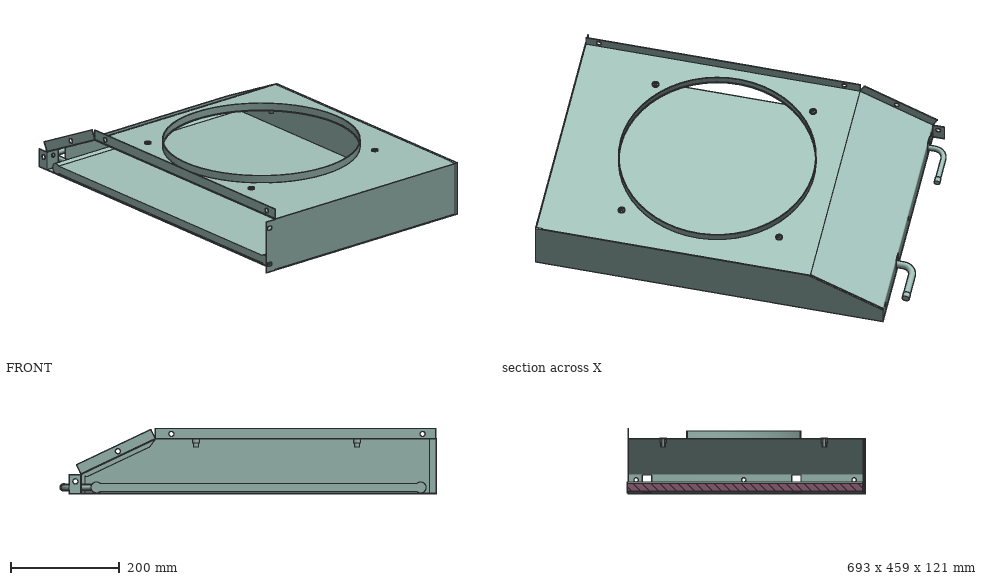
import cadquery as cq
import math

SHEET = 1.5
LENGTH = 655.0
BACK_SHEET = 3.0
DEPTH = 437.5
ROOF_Z = 102.0
INLET_WALL_Z = 37.0
ROOF_START_X = 137.0
BEND_RADIUS = 3.5
FLANGE_WIDTH = 19.0
TAB_WIDTH = 21.5
INLET_TAB_Z = 35.5

FLANGE_HOLE_DIA = 9.0
FLANGE_HOLE_HEIGHT = 8.0
ROOF_FLANGE_HOLES_X = (167.0, 629.5)
SLOPE_HOLE_ALONG = 80.0
INLET_TAB_HOLE = (-10.0, 23.0)
TAB_SLOT_LENGTH = 11.0
TAB_SLOT_WIDTH = 7.5
TAB_SLOT_Y = -13.0
TAB_SLOTS_Z = (15.0, 87.0)

SLOPE_LIP = 8.0
END_LIP = 12.5

FAN_CENTRE = (360.5, 213.5)
FAN_RING_DIA = 365.0
FAN_RING_HEIGHT = 14.0

WALL_SCREW_HOLE_DIA = 7.5
WALL_SCREW_HOLES_Y = (15.0, 213.5, 417.0)
WALL_SCREW_HOLE_Z = 26.0
PIPE_SLOT_WIDTH = 16.5
PIPE_SLOT_TOP_Z = 35.0

RIVET_NUT_SPACING = 297.0
NUT_HEAD_DIA = 12.5
NUT_HEAD_HEIGHT = 1.0
NUT_SHANK_DIA = 9.0
NUT_COLLAR_HEIGHT = 7.0
NUT_LENGTH_BELOW_ROOF = 14.5
NUT_BORE_DIA = 4.0

COIL_AXIS_Z = 12.0
CORE_THICKNESS = 14.5
HEADER_DIA = 20.0
HEADER_INSET = 29.0
COIL_FRONT_Y = -1.5
COIL_BACK_Y = 433.0

PIPE_REACH_X = -31.0
PIPE_BEND_RADIUS = 20.0
PIPE_CAP_LENGTH = 10.5
SUCTION_PIPE_Y = 310.5
SUCTION_PIPE_DIA = 13.0
SUCTION_CAP_DIA = 14.0
SUCTION_END_Y = 385.0
LIQUID_PIPE_Y = 35.5
LIQUID_PIPE_DIA = 10.0
LIQUID_CAP_DIA = 11.0
LIQUID_END_Y = 111.5

SLOPE_ANGLE = math.atan2(ROOF_Z - INLET_WALL_Z, ROOF_START_X)
SLOPE_LENGTH = math.hypot(ROOF_Z - INLET_WALL_Z, ROOF_START_X)
SLOPE_DROP = SHEET / math.cos(SLOPE_ANGLE)
BACK_WALL_Y = DEPTH - BACK_SHEET


def slope_point(along, above):
    """X, Z of a point along the slope and above it, square to its outer face."""
    return (
        along * math.cos(SLOPE_ANGLE) - above * math.sin(SLOPE_ANGLE),
        INLET_WALL_Z + along * math.sin(SLOPE_ANGLE) + above * math.cos(SLOPE_ANGLE),
    )


def plate_xz(points, y_start, y_end):
    """Flat plate with an X-Z outline, between two Y positions."""
    return cq.Workplane("XZ", origin=(0, y_start, 0)).polyline(points).close().extrude(y_start - y_end)


def box(x_range, y_range, z_range):
    """Box from its limits on each axis."""
    size = [high - low for low, high in (x_range, y_range, z_range)]
    corner = (x_range[0], y_range[0], z_range[0])
    return cq.Workplane().box(*size, centered=False).translate(corner)


def round_inlet_bend(solid, radius):
    """Round the edge where the inlet wall meets the slope."""
    return solid.edges("|Y").edges(cq.NearestToPointSelector((0, DEPTH / 2, INLET_WALL_Z))).fillet(radius)


def sheet_loop():
    """Floor, inlet wall, slope, roof and end wall as one bent sheet."""
    outline = [(0, 0), (LENGTH, 0), (LENGTH, ROOF_Z), (ROOF_START_X, ROOF_Z), (0, INLET_WALL_Z)]
    outer = round_inlet_bend(plate_xz(outline, 0, BACK_WALL_Y), BEND_RADIUS)
    cavity = cq.Workplane("XZ").polyline(outline).close().offset2D(-SHEET, "intersection").extrude(-BACK_WALL_Y)
    return outer.cut(round_inlet_bend(cavity, BEND_RADIUS - SHEET))


def back_wall():
    """Back wall, one sheet lower than the outer face along the slope."""
    outline = [
        (0, 0),
        (LENGTH, 0),
        (LENGTH, ROOF_Z),
        (ROOF_START_X, ROOF_Z),
        (ROOF_START_X, ROOF_Z - SLOPE_DROP),
        (0, INLET_WALL_Z - SLOPE_DROP),
    ]
    return round_inlet_bend(plate_xz(outline, BACK_WALL_Y, DEPTH), BEND_RADIUS)


def back_lips():
    """Inward lips of the inlet wall, slope and end wall, lying on the back wall."""
    lip_y = (BACK_WALL_Y - SHEET, BACK_WALL_Y)
    slope_lip = plate_xz(
        [
            slope_point(0, -SHEET),
            slope_point(SLOPE_LENGTH, -SHEET),
            slope_point(SLOPE_LENGTH - 2 * SLOPE_LIP, -SHEET - SLOPE_LIP),
            slope_point(SLOPE_LIP, -SHEET - SLOPE_LIP),
        ],
        *lip_y,
    )
    inlet_lip = box((0, SLOPE_LIP), lip_y, (0, INLET_WALL_Z - SLOPE_DROP))
    end_lip = box((LENGTH - END_LIP, LENGTH), lip_y, (0, ROOF_Z))
    return slope_lip.union(inlet_lip).union(end_lip)


def front_flanges():
    """Upstanding flanges on the roof and slope, and the inlet tab, with their round holes."""
    roof_flange = box((ROOF_START_X, LENGTH - SHEET), (0, SHEET), (ROOF_Z - SHEET, ROOF_Z + FLANGE_WIDTH))
    slope_flange = plate_xz(
        [
            slope_point(0, -SHEET),
            slope_point(SLOPE_LENGTH, -SHEET),
            slope_point(SLOPE_LENGTH, FLANGE_WIDTH),
            slope_point(0, FLANGE_WIDTH),
        ],
        0,
        SHEET,
    )
    inlet_tab = box((-TAB_WIDTH, SHEET), (0, SHEET), (0, INLET_TAB_Z))
    hole_centres = [(x, ROOF_Z + FLANGE_HOLE_HEIGHT) for x in ROOF_FLANGE_HOLES_X]
    hole_centres += [slope_point(SLOPE_HOLE_ALONG, FLANGE_HOLE_HEIGHT), INLET_TAB_HOLE]
    holes = cq.Workplane("XZ").pushPoints(hole_centres).circle(FLANGE_HOLE_DIA / 2).extrude(-SHEET)
    return roof_flange.union(slope_flange).union(inlet_tab).cut(holes)


def end_tab():
    """Slotted mounting tab that continues the end wall past the open front."""
    tab = box((LENGTH - SHEET, LENGTH), (-TAB_WIDTH, 0), (0, ROOF_Z - SHEET))
    slots = (
        cq.Workplane("YZ", origin=(LENGTH - SHEET, 0, 0))
        .pushPoints([(TAB_SLOT_Y, z) for z in TAB_SLOTS_Z])
        .slot2D(TAB_SLOT_LENGTH, TAB_SLOT_WIDTH)
        .extrude(SHEET)
    )
    return tab.cut(slots)


def fan_ring():
    """Collar around the fan opening."""
    return (
        cq.Workplane(origin=(*FAN_CENTRE, ROOF_Z - SHEET))
        .circle(FAN_RING_DIA / 2)
        .circle(FAN_RING_DIA / 2 - SHEET)
        .extrude(SHEET + FAN_RING_HEIGHT)
    )


def inlet_wall_cuts():
    """Screw holes and the two pipe slots through the inlet wall."""
    wall = cq.Workplane("YZ")
    screw_holes = (
        wall.pushPoints([(y, WALL_SCREW_HOLE_Z) for y in WALL_SCREW_HOLES_Y])
        .circle(WALL_SCREW_HOLE_DIA / 2)
        .extrude(SHEET)
    )
    slot_height = PIPE_SLOT_TOP_Z - SHEET
    pipe_slots = (
        wall.pushPoints([(y, SHEET + slot_height / 2) for y in (LIQUID_PIPE_Y, SUCTION_PIPE_Y)])
        .rect(PIPE_SLOT_WIDTH, slot_height)
        .extrude(SHEET)
    )
    return screw_holes.union(pipe_slots)


def nut_pattern(z):
    """Workplane at height z with a point at each rivet nut."""
    return cq.Workplane(origin=(*FAN_CENTRE, z)).rect(RIVET_NUT_SPACING, RIVET_NUT_SPACING, forConstruction=True)


def make_housing():
    """Sheet metal housing, open at the front."""
    housing = sheet_loop().union(back_wall()).union(back_lips())
    housing = housing.union(front_flanges()).union(end_tab()).union(fan_ring())
    fan_opening = (
        cq.Workplane(origin=(*FAN_CENTRE, ROOF_Z - SHEET)).circle(FAN_RING_DIA / 2 - SHEET).extrude(SHEET)
    )
    nut_holes = nut_pattern(ROOF_Z - SHEET).vertices().circle(NUT_SHANK_DIA / 2).extrude(SHEET)
    return housing.cut(fan_opening).cut(nut_holes).cut(inlet_wall_cuts())


def make_rivet_nut(x, y):
    """Rivet nut clamped in the roof: thin head, shank, collar under the sheet and a bore."""
    tip_z = ROOF_Z - SHEET - NUT_LENGTH_BELOW_ROOF
    collar_z = ROOF_Z - SHEET - NUT_COLLAR_HEIGHT
    head = cq.Workplane(origin=(x, y, ROOF_Z)).circle(NUT_HEAD_DIA / 2).extrude(NUT_HEAD_HEIGHT)
    shank = cq.Workplane(origin=(x, y, tip_z)).circle(NUT_SHANK_DIA / 2).extrude(ROOF_Z - tip_z)
    collar = cq.Workplane(origin=(x, y, collar_z)).circle(NUT_HEAD_DIA / 2).extrude(NUT_COLLAR_HEIGHT)
    bore = (
        cq.Workplane(origin=(x, y, tip_z)).circle(NUT_BORE_DIA / 2).extrude(ROOF_Z + NUT_HEAD_HEIGHT - tip_z)
    )
    return head.union(shank).union(collar).cut(bore)


def make_pipe(axis_y, end_y, pipe_dia, cap_dia):
    """Pipe from the inlet header out through the wall, bent towards +Y and capped."""
    bend_end_x = PIPE_REACH_X + PIPE_BEND_RADIUS
    bend_end_y = axis_y + PIPE_BEND_RADIUS
    to_arc_middle = PIPE_BEND_RADIUS * math.sqrt(0.5)
    arc_middle = (bend_end_x - to_arc_middle, bend_end_y - to_arc_middle)
    path = (
        cq.Workplane(origin=(0, 0, COIL_AXIS_Z))
        .moveTo(HEADER_INSET, axis_y)
        .lineTo(bend_end_x, axis_y)
        .threePointArc(arc_middle, (PIPE_REACH_X, bend_end_y))
        .lineTo(PIPE_REACH_X, end_y)
    )
    start = cq.Workplane("YZ", origin=(HEADER_INSET, axis_y, COIL_AXIS_Z))
    pipe = start.circle(pipe_dia / 2).sweep(path)
    cap = (
        cq.Workplane("XZ", origin=(PIPE_REACH_X, end_y, COIL_AXIS_Z)).circle(cap_dia / 2).extrude(PIPE_CAP_LENGTH)
    )
    return pipe.union(cap)


def make_coil():
    """Flat heat exchanger: core slab, a header at each end and the two connection pipes."""
    header_x = (HEADER_INSET, LENGTH - HEADER_INSET)
    half_core = CORE_THICKNESS / 2
    coil = box(header_x, (COIL_FRONT_Y, COIL_BACK_Y), (COIL_AXIS_Z - half_core, COIL_AXIS_Z + half_core))
    headers = (
        cq.Workplane("XZ", origin=(0, COIL_FRONT_Y, 0))
        .pushPoints([(x, COIL_AXIS_Z) for x in header_x])
        .circle(HEADER_DIA / 2)
        .extrude(COIL_FRONT_Y - COIL_BACK_Y)
    )
    suction_pipe = make_pipe(SUCTION_PIPE_Y, SUCTION_END_Y, SUCTION_PIPE_DIA, SUCTION_CAP_DIA)
    liquid_pipe = make_pipe(LIQUID_PIPE_Y, LIQUID_END_Y, LIQUID_PIPE_DIA, LIQUID_CAP_DIA)
    return coil.union(headers).union(suction_pipe).union(liquid_pipe)


housing = make_housing()
coil = make_coil()
rivet_nuts = []
for corner in nut_pattern(0).vertices().vals():
    rivet_nuts.append(make_rivet_nut(corner.X, corner.Y).val())

result = cq.Compound.makeCompound([housing.val(), coil.val(), *rivet_nuts])